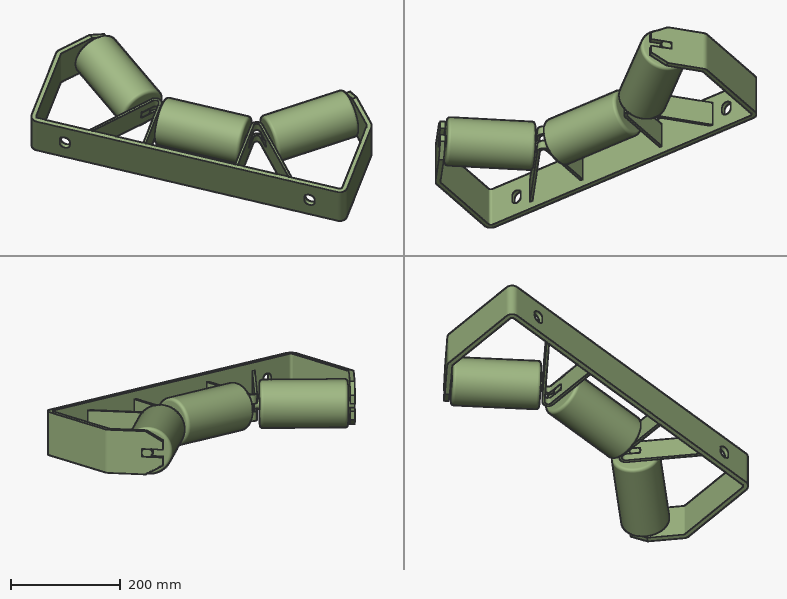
import cadquery as cq
import math

FRAME_LENGTH = 600.0
FRAME_WIDTH = 81.5
FRAME_THICKNESS = 9.0
FRAME_BEND_RADIUS = 14.0
ARM_OVERHANG = 29.0
ARM_CHAMFER_LENGTH = 31.0
ARM_CHAMFER_WIDTH = 18.0

MOUNT_SLOT_SPACING = 465.5
MOUNT_SLOT_LENGTH = 28.0
MOUNT_SLOT_WIDTH = 19.0

ROLLER_DIAMETER = 89.0
ROLLER_LENGTH = 161.0
ROLLER_EDGE_RADIUS = 6.0
ROLLER_TILT = 40.0
CENTER_ROLLER_Y = 101.0
SIDE_ROLLER_X = 181.0
SIDE_ROLLER_Y = 167.5
BRACKET_GAP = 5.0
ARM_GAP = 3.5

SHAFT_DIAMETER = 20.0
SHAFT_FLATS = 14.0
SHAFT_SLOT_WIDTH = 15.0
SHAFT_SLOT_CORNER = 2.5
SHOULDER_GAP = 1.0

BRACKET_WIDTH = 50.5
BRACKET_THICKNESS = 5.0
BRACKET_BEND_RADIUS = 11.5

BRACKET_REACH = ROLLER_LENGTH / 2 + BRACKET_GAP
ARM_REACH = ROLLER_LENGTH / 2 + ARM_GAP
BASE_TOP = FRAME_THICKNESS
SIN_TILT = math.sin(math.radians(ROLLER_TILT))
COS_TILT = math.cos(math.radians(ROLLER_TILT))


def left_roller_point(along, across):
    """XY point at a distance outward along the left roller axis and upward across it."""
    return (
        -SIDE_ROLLER_X - along * COS_TILT + across * SIN_TILT,
        SIDE_ROLLER_Y + along * SIN_TILT + across * COS_TILT,
    )


def mirrored(points):
    """The same points on the other side of the YZ plane, in reverse order."""
    return [(-x, y) for x, y in reversed(points)]


def across_at_x(along, x):
    """Distance across the left roller axis at which a line square to it reaches x."""
    return (x + SIDE_ROLLER_X + along * COS_TILT) / SIN_TILT


def across_at_y(along, y):
    """Distance across the left roller axis at which a line square to it reaches y."""
    return (y - SIDE_ROLLER_Y - along * SIN_TILT) / COS_TILT


def plate(points, width):
    """A closed XY outline extruded evenly to both sides of the XY plane."""
    return cq.Workplane("XY", origin=(0, 0, -width / 2)).polyline(points).close().extrude(width)


def round_corners(body, corners, radius):
    """Round the upright edges that stand at the given XY corners."""
    for x, y in corners:
        body = body.edges(cq.selectors.NearestToPointSelector((x, y, 0))).fillet(radius)
    return body


def on_left_roller(body):
    """Move a body made along X at the origin onto the axis of the left roller."""
    return body.rotate((0, 0, 0), (0, 0, 1), -ROLLER_TILT).translate((-SIDE_ROLLER_X, SIDE_ROLLER_Y, 0))


def on_center_roller(body):
    """Move a body made along X at the origin onto the axis of the center roller."""
    return body.translate((0, CENTER_ROLLER_Y, 0))


def shaft_slot(x_start, x_end, height):
    """Cutter for a slot that seats a shaft and runs upward from its axis by a height."""
    channel = cq.Workplane("XY", origin=(x_start, -SHAFT_DIAMETER / 2, 0)).box(
        x_end - x_start, SHAFT_DIAMETER / 2 + height, SHAFT_SLOT_WIDTH, centered=(False, False, True)
    )
    return channel.faces("<Y").edges("|X").fillet(SHAFT_SLOT_CORNER)


def rod(diameter, x_start, x_end):
    """A cylinder along the X axis."""
    return cq.Workplane("YZ", origin=(x_start, 0, 0)).circle(diameter / 2).extrude(x_end - x_start)


def make_roller(left_reach, left_plate, right_reach, right_plate):
    """A roller along X at the origin.

    Each end of its shaft is round almost to the plate, which lies at the reach from the middle,
    and goes flatted through the thickness of the plate.
    """
    drum = rod(ROLLER_DIAMETER, -ROLLER_LENGTH / 2, ROLLER_LENGTH / 2).edges().fillet(ROLLER_EDGE_RADIUS)
    shaft = rod(SHAFT_DIAMETER, SHOULDER_GAP - left_reach, right_reach - SHOULDER_GAP)
    left_end = -left_reach - left_plate
    right_end = right_reach + right_plate
    flats = cq.Workplane("XY", origin=(left_end, 0, 0)).box(
        right_end - left_end, SHAFT_DIAMETER, SHAFT_FLATS, centered=(False, True, True)
    )
    flatted_shaft = rod(SHAFT_DIAMETER, left_end, right_end).intersect(flats)
    return drum.union(shaft).union(flatted_shaft)


def make_frame():
    """The outer strip with its shaft slots, chamfered arm ends and mounting slots."""
    half_length = FRAME_LENGTH / 2
    inner_x = -half_length + FRAME_THICKNESS
    arm_inner = ARM_REACH
    arm_outer = ARM_REACH + FRAME_THICKNESS
    outer_knee = left_roller_point(arm_outer, across_at_x(arm_outer, -half_length))
    inner_knee = left_roller_point(arm_inner, across_at_x(arm_inner, inner_x))
    left = [
        (inner_x, BASE_TOP),
        inner_knee,
        left_roller_point(arm_inner, ARM_OVERHANG),
        left_roller_point(arm_outer, ARM_OVERHANG),
        outer_knee,
        (-half_length, 0),
    ]
    frame = plate(left + mirrored(left), FRAME_WIDTH)

    outer_corners = [outer_knee, (-half_length, 0)]
    inner_corners = [inner_knee, (inner_x, BASE_TOP)]
    inner_radius = FRAME_BEND_RADIUS - FRAME_THICKNESS
    frame = round_corners(frame, outer_corners + mirrored(outer_corners), FRAME_BEND_RADIUS)
    frame = round_corners(frame, inner_corners + mirrored(inner_corners), inner_radius)

    slot = on_left_roller(shaft_slot(-arm_outer, -arm_inner, ARM_OVERHANG))
    frame = frame.cut(slot).cut(slot.mirror("YZ"))

    for side in (1, -1):
        edge = side * FRAME_WIDTH / 2
        corner = (
            cq.Workplane("YZ", origin=(-arm_outer, 0, 0))
            .polyline([
                (ARM_OVERHANG, edge),
                (ARM_OVERHANG, edge - side * ARM_CHAMFER_WIDTH),
                (ARM_OVERHANG - ARM_CHAMFER_LENGTH, edge),
            ])
            .close()
            .extrude(FRAME_THICKNESS)
        )
        corner = on_left_roller(corner)
        frame = frame.cut(corner).cut(corner.mirror("YZ"))

    mount_slots = (
        cq.Workplane("XZ")
        .pushPoints([(-MOUNT_SLOT_SPACING / 2, 0), (MOUNT_SLOT_SPACING / 2, 0)])
        .slot2D(MOUNT_SLOT_LENGTH, MOUNT_SLOT_WIDTH, 90)
        .extrude(-FRAME_THICKNESS)
    )
    return frame.cut(mount_slots)


def make_left_bracket():
    """The left bracket: an upright leg and a sloped leg joined by a bend, standing on the base."""
    upright_outer = -BRACKET_REACH
    upright_inner = upright_outer - BRACKET_THICKNESS
    slope_outer = -BRACKET_REACH
    slope_inner = slope_outer - BRACKET_THICKNESS
    outer_peak = left_roller_point(slope_outer, across_at_x(slope_outer, upright_outer))
    inner_peak = left_roller_point(slope_inner, across_at_x(slope_inner, upright_inner))
    bracket = plate(
        [
            (upright_outer, BASE_TOP),
            outer_peak,
            left_roller_point(slope_outer, across_at_y(slope_outer, BASE_TOP)),
            left_roller_point(slope_inner, across_at_y(slope_inner, BASE_TOP)),
            inner_peak,
            (upright_inner, BASE_TOP),
        ],
        BRACKET_WIDTH,
    )
    bracket = round_corners(bracket, [outer_peak], BRACKET_BEND_RADIUS)
    bracket = round_corners(bracket, [inner_peak], BRACKET_BEND_RADIUS - BRACKET_THICKNESS)

    slot_height = outer_peak[1] - CENTER_ROLLER_Y
    upright_slot = on_center_roller(shaft_slot(upright_inner, upright_outer, slot_height))
    sloped_slot = on_left_roller(shaft_slot(BRACKET_REACH, BRACKET_REACH + BRACKET_THICKNESS, slot_height))
    bend_slot = cq.Workplane("XY").box(
        2 * BRACKET_BEND_RADIUS, slot_height, SHAFT_SLOT_WIDTH
    ).translate((upright_outer - BRACKET_BEND_RADIUS, outer_peak[1] - slot_height / 2, 0))
    return bracket.cut(upright_slot).cut(sloped_slot).cut(bend_slot)


frame = make_frame()
left_bracket = make_left_bracket()
brackets = [left_bracket, left_bracket.mirror("YZ")]
center_roller = on_center_roller(
    make_roller(BRACKET_REACH, BRACKET_THICKNESS, BRACKET_REACH, BRACKET_THICKNESS)
)
left_roller = on_left_roller(make_roller(ARM_REACH, FRAME_THICKNESS, BRACKET_REACH, BRACKET_THICKNESS))
rollers = [left_roller, center_roller, left_roller.mirror("YZ")]

result = cq.Compound.makeCompound([body.val() for body in [frame, *brackets, *rollers]])